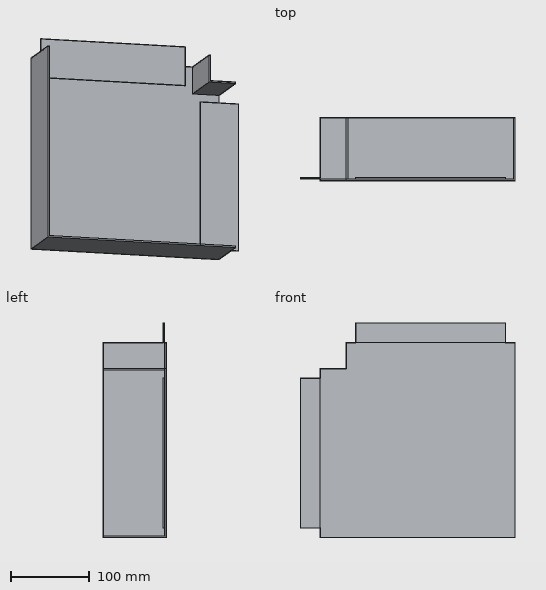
import cadquery as cq


sheet = 2.0
depth = 80.0
duct_width = 214.0
arm_length = 247.0
strap_width = 190.0
strap_reach = 25.0
strap_overlap = 25.0

strap_start = (duct_width - strap_width) / 2


def box_between(x_range, y_range, z_range):
    """Axis-aligned box spanning the given (low, high) ranges."""
    (x0, x1), (y0, y1), (z0, z1) = x_range, y_range, z_range
    return cq.Workplane("XY").box(x1 - x0, y1 - y0, z1 - z0, centered=False).translate((x0, y0, z0))


def extrude_along_y(points, y_start, y_end):
    """Closed XZ outline extruded from y_start to y_end."""
    outline = cq.Workplane("XZ", origin=(0, y_start, 0)).polyline(points).close()
    return outline.extrude(y_start - y_end)


def make_cover():
    """L-shaped front plate with the two outer walls bent back from it."""
    plate = extrude_along_y(
        [
            (0, 0),
            (0, arm_length),
            (-duct_width, arm_length),
            (-duct_width, duct_width),
            (-arm_length, duct_width),
            (-arm_length, 0),
        ],
        0,
        sheet,
    )
    side_wall = box_between((-sheet, 0), (0, depth), (0, arm_length))
    bottom_wall = box_between((-arm_length, 0), (0, depth), (0, sheet))
    return plate.union(side_wall).union(bottom_wall)


def make_inner_angle():
    """Angle that forms the inner corner walls, standing on the back of the plate."""
    inner_face = duct_width - sheet
    return extrude_along_y(
        [
            (-arm_length, duct_width),
            (-duct_width, duct_width),
            (-duct_width, arm_length),
            (-inner_face, arm_length),
            (-inner_face, inner_face),
            (-arm_length, inner_face),
        ],
        sheet,
        depth,
    )


def make_strap(on_side_arm):
    """Flat joining strap behind the plate, standing out of one arm's open end."""
    across = (strap_start, strap_start + strap_width)
    along = (arm_length - strap_overlap, arm_length + strap_reach)
    behind_plate = (sheet, 2 * sheet)
    if on_side_arm:
        return box_between((-along[1], -along[0]), behind_plate, across)
    return box_between((-across[1], -across[0]), behind_plate, along)


cover = make_cover()
inner_angle = make_inner_angle()
straps = [make_strap(on_side_arm) for on_side_arm in (False, True)]

result = cq.Compound.makeCompound(
    [cover.val(), inner_angle.val(), *[strap.val() for strap in straps]]
)